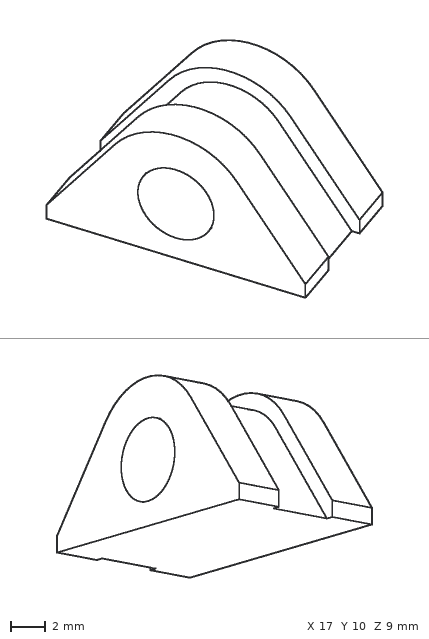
import cadquery as cq
import math

length = 17.0
width = 10.0
bore_height = 4.0
bore_diameter = 5.0
flange_radius = 5.0
foot_height = 1.0
flange_thickness = 3.0
groove_depth = 1.0

middle_radius = flange_radius - groove_depth


def tangent_point(foot_x, foot_z, radius):
    """Upper point where a line from the foot touches the circle about the bore axis."""
    drop = foot_z - bore_height
    distance = math.hypot(foot_x, drop)
    angle = math.atan2(drop, foot_x) + math.acos(radius / distance)
    return radius * math.cos(angle), bore_height + radius * math.sin(angle)


def saddle(foot_x, foot_z, radius, thickness):
    """Round-topped profile with sloping tangent flanks, centred along Y."""
    shoulder_x, shoulder_z = tangent_point(foot_x, foot_z, radius)
    profile = cq.Workplane("XZ").moveTo(-foot_x, 0).lineTo(foot_x, 0)
    if foot_z > 0:
        profile = profile.lineTo(foot_x, foot_z)
    profile = (
        profile.lineTo(shoulder_x, shoulder_z)
        .threePointArc((0, bore_height + radius), (-shoulder_x, shoulder_z))
        .lineTo(-foot_x, foot_z)
    )
    return profile.close().extrude(thickness / 2, both=True)


flank_x, flank_z = tangent_point(length / 2, foot_height, flange_radius)
normal_x = flank_x / flange_radius
normal_z = (flank_z - bore_height) / flange_radius
middle_foot_x = (middle_radius + bore_height * normal_z) / normal_x

body = saddle(middle_foot_x, 0, middle_radius, width)

flange = saddle(length / 2, foot_height, flange_radius, flange_thickness)
flange_offset = (width - flange_thickness) / 2
for side in (-1, 1):
    body = body.union(flange.translate((0, side * flange_offset, 0)))

bore = (
    cq.Workplane("XZ")
    .center(0, bore_height)
    .circle(bore_diameter / 2)
    .extrude(width, both=True)
)
result = body.cut(bore)